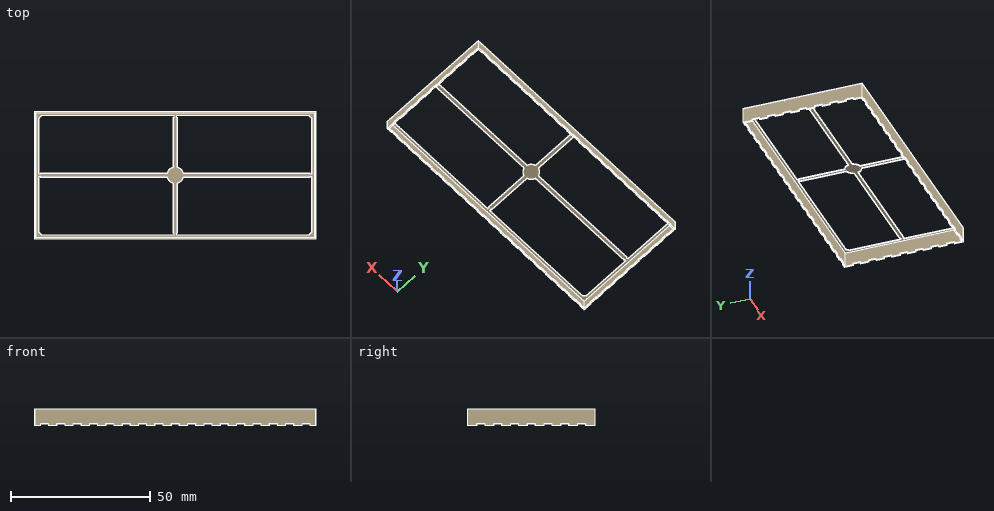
import cadquery as cq

LENGTH = 101.1
WIDTH = 45.9
HEIGHT = 6.0
WALL = 0.5

SHEET_THICKNESS = 0.3
FLANGE_WIDTH = 1.5
FLANGE_CORNER_CHAMFER = 1.0
SPOKE_WIDTH = 1.5
SPOKE_NECK_WIDTH = 1.0
SPOKE_NECK_LENGTH = 0.6
HUB_DIAMETER = 6.0

NOTCH_WIDTH = 2.8
NOTCH_DEPTH = 0.6
LONG_SIDE_NOTCHES = 17
LONG_SIDE_END_MARGIN = 2.1
SHORT_SIDE_NOTCHES = 7
SHORT_SIDE_END_MARGIN = 3.4

OPENING_LENGTH = LENGTH - 2 * FLANGE_WIDTH
OPENING_WIDTH = WIDTH - 2 * FLANGE_WIDTH
SHEET_BOTTOM = HEIGHT - SHEET_THICKNESS


def turn_to_y(body):
    """Quarter turn about Z, taking the X direction to Y."""
    return body.rotate((0, 0, 0), (0, 0, 1), 90)


def make_frame():
    """Thin walls under a wider flange whose opening has chamfered corners."""
    block = cq.Workplane("XY").rect(LENGTH, WIDTH).extrude(HEIGHT)
    cavity = cq.Workplane("XY").rect(LENGTH - 2 * WALL, WIDTH - 2 * WALL).extrude(SHEET_BOTTOM)
    opening = (
        cq.Workplane("XY")
        .rect(OPENING_LENGTH, OPENING_WIDTH)
        .extrude(HEIGHT)
        .edges("|Z")
        .chamfer(FLANGE_CORNER_CHAMFER)
    )
    return block.cut(cavity).cut(opening)


def make_spoke(span):
    """Flat bar along X, narrowed to a neck where each end meets the flange."""
    sheet = cq.Workplane("XY").workplane(offset=SHEET_BOTTOM)
    bar = sheet.rect(span - 2 * SPOKE_NECK_LENGTH, SPOKE_WIDTH).extrude(SHEET_THICKNESS)
    necks = sheet.rect(span, SPOKE_NECK_WIDTH).extrude(SHEET_THICKNESS)
    return bar.union(necks)


def make_hub():
    """Flat round disc where the spokes cross."""
    sheet = cq.Workplane("XY").workplane(offset=SHEET_BOTTOM)
    return sheet.circle(HUB_DIAMETER / 2).extrude(SHEET_THICKNESS)


def make_notches(count, side, end_margin, crossing):
    """Even row of notches along X, each running across the frame in Y."""
    pitch = (side - 2 * end_margin - NOTCH_WIDTH) / (count - 1)
    return (
        cq.Workplane("XY")
        .rarray(pitch, 1, count, 1)
        .rect(NOTCH_WIDTH, crossing)
        .extrude(NOTCH_DEPTH)
    )


long_side_notches = make_notches(LONG_SIDE_NOTCHES, LENGTH, LONG_SIDE_END_MARGIN, WIDTH)
short_side_notches = make_notches(SHORT_SIDE_NOTCHES, WIDTH, SHORT_SIDE_END_MARGIN, LENGTH)

result = (
    make_frame()
    .union(make_spoke(OPENING_LENGTH))
    .union(turn_to_y(make_spoke(OPENING_WIDTH)))
    .union(make_hub())
    .cut(long_side_notches)
    .cut(turn_to_y(short_side_notches))
)